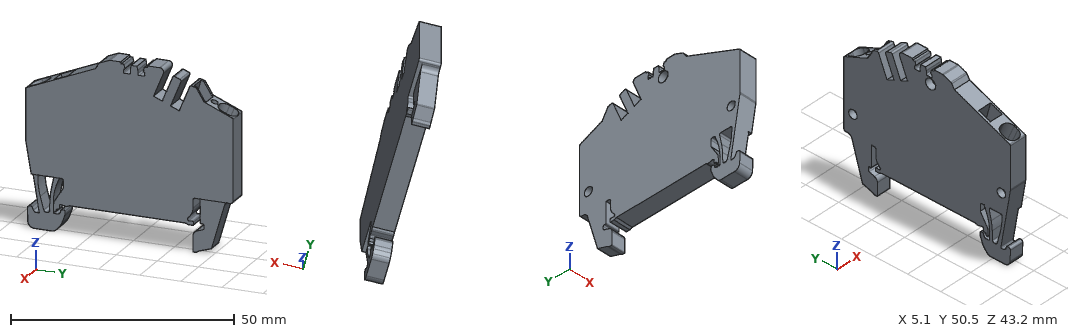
import cadquery as cq
import math

LENGTH = 50.5
HEIGHT = 43.25
THICKNESS = 5.1
FOOT_THICKNESS = 4.15

SHOULDER_ANGLE = 22.5
SHOULDER_Z = 33.7
SHOULDER_EDGE_RADIUS = 0.35
SHOULDER_COS = math.cos(math.radians(SHOULDER_ANGLE))
SHOULDER_SIN = math.sin(math.radians(SHOULDER_ANGLE))
SHOULDER_TAN = SHOULDER_SIN / SHOULDER_COS

FEET_TOP_Z = 13.3
BASE_Z = 7.0
LIP_Z = 6.7
BEND_Z = 21.2
OUTER_LEAN = 5.8 / 34.2
FOOT_OVERLAP = 0.75

SLOT_WIDTH = 2.25
SLOT_FLOOR_CORNERS = ((31.15, 36.2), (35.3, 34.5))
TOOTH_RADIUS = 0.45
LIP_RADIUS = 0.9
TOOTH_HEIGHT = 7.0

GROOVE_Y = 26.4
GROOVE_FLOOR_Z = 40.65
GROOVE_STEP_Z = 42.75

FUNNEL_WIDTH = 4.2
FUNNEL_LENGTH = 4.85
FUNNEL_RADIUS = 1.8
FUNNEL_CENTRE_LOW_Y = 2.75
FUNNEL_CENTRE_HIGH_Y = 2.35
FUNNEL_DEPTH = 5.25
FUNNEL_TAPER = 2
POCKET_X_START = 0.7
POCKET_WIDTH = 3.9
TEST_HOLE_DIAMETER = 1.65
TEST_HOLE_CENTRE = 6.0

FACE_HOLES = ((2.8, 19.1, 2.5), (47.7, 19.1, 2.5), (24.2, 38.8, 3.05))
FACE_HOLE_DEPTH = 2


def rounded_outline(plane, corners):
    """Closed outline through (a, b) corners; a third value rounds the corner by that radius."""
    path = cq.Workplane(plane)
    started = False
    for i, corner in enumerate(corners):
        here = cq.Vector(*corner[:2])
        if len(corner) == 2:
            stops = [here]
        else:
            to_last = (cq.Vector(*corners[i - 1][:2]) - here).normalized()
            to_next = (cq.Vector(*corners[(i + 1) % len(corners)][:2]) - here).normalized()
            half_angle = to_last.getAngle(to_next) / 2
            radius = corner[2]
            setback = radius / math.tan(half_angle)
            inset = radius / math.sin(half_angle) - radius
            bisector = (to_last + to_next).normalized()
            stops = [here + to_last * setback, here + bisector * inset, here + to_next * setback]
        first = stops[0].toTuple()[:2]
        path = path.lineTo(*first) if started else path.moveTo(*first)
        started = True
        if len(stops) == 3:
            path = path.threePointArc(stops[1].toTuple()[:2], stops[2].toTuple()[:2])
    return path.close()


def outer_face_y(z):
    """Y of the leaning -Y end face at height z."""
    return (BEND_Z - z) * OUTER_LEAN


def slot_corners(floor_corner, low_wall, high_wall):
    """Corners of a slot from its -Y lip to its +Y lip; each wall is (height, lip radius)."""
    low_height, low_radius = low_wall
    high_height, high_radius = high_wall
    y, z = floor_corner
    far_y = y + SLOT_WIDTH * SHOULDER_COS
    far_z = z - SLOT_WIDTH * SHOULDER_SIN
    return [
        (y + low_height * SHOULDER_SIN, z + low_height * SHOULDER_COS, low_radius),
        (y, z),
        (far_y, far_z),
        (far_y + high_height * SHOULDER_SIN, far_z + high_height * SHOULDER_COS, high_radius),
    ]


def groove_corners():
    """Corners of the marker groove, from -Y to +Y."""
    half = [
        (3.3, HEIGHT),
        (3.15, GROOVE_STEP_Z),
        (2.45, GROOVE_STEP_Z, 0.15),
        (2.2, 41.8),
        (2.6, 41.4),
        (2.6, GROOVE_FLOOR_Z, 0.15),
        (0.9, GROOVE_FLOOR_Z, 0.3),
        (0.9, 41.85),
        (0.7, GROOVE_STEP_Z),
    ]
    low_side = [(GROOVE_Y - offset, *rest) for offset, *rest in half]
    high_side = [(GROOVE_Y + offset, *rest) for offset, *rest in reversed(half)]
    return low_side + high_side


def make_body():
    """Full-thickness body, without the feet."""
    hump_y = 16.95
    hill_y = LENGTH - 7.05
    first_slot, second_slot = SLOT_FLOOR_CORNERS
    flat_wall = ((HEIGHT - first_slot[1]) / SHOULDER_COS, LIP_RADIUS)
    tooth_wall = (TOOTH_HEIGHT, TOOTH_RADIUS)
    corners = [
        (0, BEND_Z, 2),
        (0, SHOULDER_Z, SHOULDER_EDGE_RADIUS),
        (hump_y, SHOULDER_Z + hump_y * SHOULDER_TAN),
        (17.9, 42.15, 0.6),
        (20.45, HEIGHT, 0.75),
        *groove_corners(),
        *slot_corners(first_slot, flat_wall, tooth_wall),
        *slot_corners(second_slot, tooth_wall, tooth_wall),
        (41.55, 39.7, TOOTH_RADIUS),
        (hill_y, SHOULDER_Z + (LENGTH - hill_y) * SHOULDER_TAN),
        (LENGTH, SHOULDER_Z, SHOULDER_EDGE_RADIUS),
        (LENGTH, FEET_TOP_Z, 0.6),
        (40.75, FEET_TOP_Z, 0.45),
        (40.75, 9.7, 3.05),
        (39.4, 8.2, 0.2),
        (39.55, 7.7, 0.2),
        (40.85, 7.75, 0.2),
        (40.85, LIP_Z, 0.15),
        (39.65, LIP_Z),
        (38.9, BASE_Z),
        (10.65, BASE_Z),
        (9.9, LIP_Z, 0.6),
        (8.8, BASE_Z),
        (8.25, BASE_Z, 0.25),
        (8.25, 5.95),
        (7.5, 5.75),
        (7.2, 5.05),
        (6.8, 5.05, 0.25),
        (6.85, 7.35, 1),
        (9.15, 11.0),
        (9.15, FEET_TOP_Z, 0.45),
        (outer_face_y(FEET_TOP_Z), FEET_TOP_Z),
    ]
    return rounded_outline("YZ", corners).extrude(THICKNESS)


def make_fixed_foot():
    """Rigid hook under the +Y end."""
    top_z = FEET_TOP_Z + FOOT_OVERLAP
    inner_y = 42.1
    tip_y = 40.3
    corners = [
        (inner_y, top_z),
        (49.65, top_z),
        (49.65, FEET_TOP_Z),
        (48.35, FEET_TOP_Z, 1.5),
        (44.85, 1.4, 0.25),
        (41.75, 0.4),
        (41.1, 0, 0.25),
        (tip_y, 0, 0.15),
        (tip_y, 4.8, 1.3),
        (43.05, 5.75, 0.35),
        (43.05, BASE_Z, 0.35),
        (inner_y, BASE_Z, 0.15),
    ]
    return rounded_outline("YZ", corners).extrude(FOOT_THICKNESS)


def make_spring_foot():
    """Flexible hook under the -Y end, hung on two thin legs."""
    top_z = FEET_TOP_Z + FOOT_OVERLAP
    heel_z = 3.9
    throat_z = 4.3
    corners = [
        (outer_face_y(top_z), top_z),
        (outer_face_y(heel_z), heel_z, 0.15),
        (1.7, heel_z, 0.75),
        (1.1, 5.25, 0.25),
        (0, 5.25, 0.6),
        (0.15, 0, 1.6),
        (6.65, 0, 1.5),
        (8.3, 1.85, 3.05),
        (9.25, 4.45, 1),
        (9.15, 5.45, 0.25),
        (8.25, 5.45, 0.25),
        (7.9, throat_z, 0.7),
        (6.35, throat_z, 0.3),
        (6.3, 9.85, 12.6),
        (8.45, top_z),
    ]
    gap_corners = [
        (2.6, FEET_TOP_Z, 0.4),
        (2.6, 10.1, 17.15),
        (4.15, throat_z, 0.6),
        (5.4, throat_z, 0.5),
        (5.55, 8.75, 15.15),
        (6.5, FEET_TOP_Z, 0.4),
    ]
    foot = rounded_outline("YZ", corners).extrude(FOOT_THICKNESS)
    return foot.cut(rounded_outline("YZ", gap_corners).extrude(FOOT_THICKNESS))


def shoulder_plane(x, distance):
    """Plane on the -Y shoulder, its local y uphill and its normal outwards."""
    origin = (x, distance * SHOULDER_COS, SHOULDER_Z + distance * SHOULDER_SIN)
    return cq.Plane(origin=origin, xDir=(1, 0, 0), normal=(0, -SHOULDER_SIN, SHOULDER_COS))


def at_other_end(cutter):
    """Copy of a -Y end cutter for the +Y end."""
    return cutter.mirror("XZ").translate((0, LENGTH, 0))


def make_funnel(centre):
    """Tapered round-cornered wire entry, square to the shoulder."""
    half_width = FUNNEL_WIDTH / 2
    half_length = FUNNEL_LENGTH / 2
    corners = [
        (-half_width, -half_length, FUNNEL_RADIUS),
        (half_width, -half_length, FUNNEL_RADIUS),
        (half_width, half_length, FUNNEL_RADIUS),
        (-half_width, half_length, FUNNEL_RADIUS),
    ]
    plane = shoulder_plane(THICKNESS / 2, centre)
    return rounded_outline(plane, corners).extrude(-FUNNEL_DEPTH, taper=FUNNEL_TAPER)


def make_clamp_pocket():
    """Narrowing rectangular pocket, drawn as distance up the slope and depth below it."""
    side = [
        (7.25, -4.05),
        (7.25, 2.85),
        (7.6, 6.9),
        (10.1, 6.9),
        (11.6, -4.05),
    ]
    corners = [
        (
            along * SHOULDER_COS + depth * SHOULDER_SIN,
            SHOULDER_Z + along * SHOULDER_SIN - depth * SHOULDER_COS,
        )
        for along, depth in side
    ]
    plane = cq.Plane(origin=(POCKET_X_START, 0, 0), xDir=(0, 1, 0), normal=(1, 0, 0))
    return rounded_outline(plane, corners).extrude(POCKET_WIDTH)


def make_test_hole():
    """Small round hole, square to the shoulder."""
    plane = shoulder_plane(THICKNESS / 2, TEST_HOLE_CENTRE)
    return cq.Workplane(plane).circle(TEST_HOLE_DIAMETER / 2).extrude(-FUNNEL_DEPTH)


result = make_body().union(make_fixed_foot()).union(make_spring_foot())

result = result.cut(make_funnel(FUNNEL_CENTRE_LOW_Y))
result = result.cut(make_clamp_pocket())
result = result.cut(at_other_end(make_funnel(FUNNEL_CENTRE_HIGH_Y)))
result = result.cut(at_other_end(make_clamp_pocket()))
result = result.cut(at_other_end(make_test_hole()))

for hole_y, hole_z, diameter in FACE_HOLES:
    hole = cq.Workplane("YZ").center(hole_y, hole_z).circle(diameter / 2).extrude(FACE_HOLE_DEPTH)
    result = result.cut(hole)